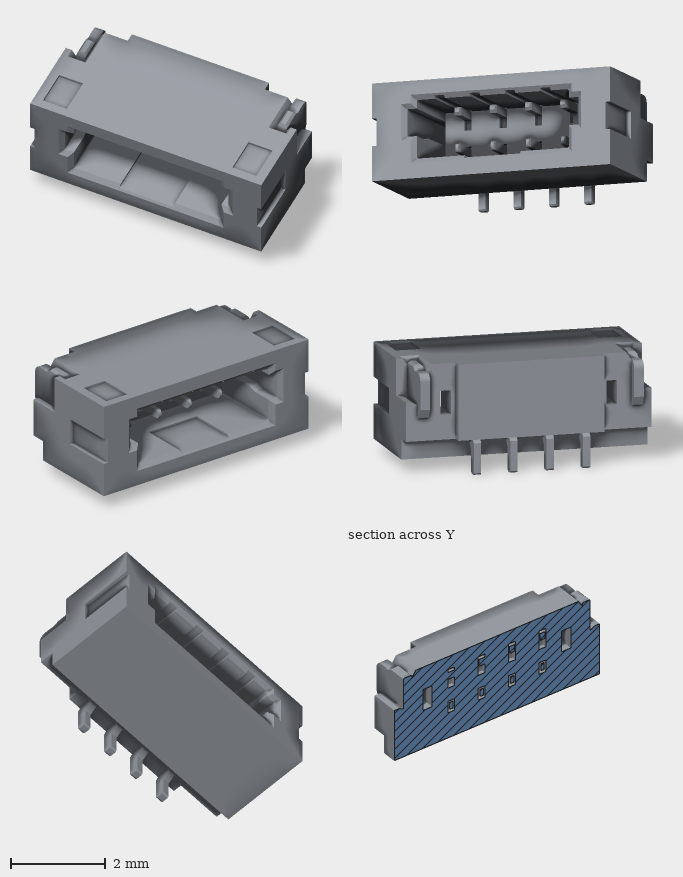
import cadquery as cq


body_width = 5.4
body_height = 2.1
body_depth = 2.49
rear_block_width = 3.21
rear_block_depth = 0.205
rear_y = body_depth + rear_block_depth
underside_relief_y = 2.15
underside_relief_height = 0.455
side_notch_depth = 0.1
side_notch_length = 1.2
side_notch_bottom = 0.755
side_notch_height = 0.59
label_width = 0.555
label_length = 0.795
label_depth = 0.05
label_x = 2.215
label_y = 0.595

lead_in = 0.1
cavity_width = 3.445
cavity_bottom = 0.44
cavity_top = 1.695
cavity_depth = 1.73
cavity_taper_start = 0.795
cavity_rear_width = 3.415
cavity_edge_radius = 0.04
cavity_rear_chamfer = 0.05
floor_pocket_width = 1.27
floor_pocket_depth = 0.06
floor_pocket_end = 1.19

ear_width = 3.875
ear_bottom = 0.925
ear_top = 1.51
ear_step = 0.065
ear_ramp_start = 0.6
ear_ramp_length = 0.19

contact_count = 4
contact_pitch = 0.8
slot_width = 0.17
slot_depth = 0.16
slot_rear = cavity_depth + slot_depth
upper_slot_bottom = 1.29
upper_slot_top = 1.755
ceiling_groove_width = 0.225
lower_slot_bottom = 0.655
lower_slot_top = 0.94
contact_front = 1.08
contact_nose_length = 0.08
contact_nose_inset = 0.02
beam_width = 0.15
beam_bottom = 1.51
beam_top = 1.69
beam_root_radius = 0.13
beam_tip_chamfer = 0.065
pin_width = 0.1
pin_bottom = 0.72
pin_top = 0.905

tail_width = 0.16
tail_thickness = 0.21
tail_outer_y = 2.75
tail_inner_y = tail_outer_y - tail_thickness
tail_bottom = -0.295
tail_root_y = 2.37
tail_root_bottom = 0.365
tail_brace_bottom = 0.225
tail_tip_chamfer = 0.04
tail_top_chamfer = 0.065

tab_x = 2.35
tab_thickness = 0.215
tab_front = 1.65
tab_top = 1.95
tab_slot_lead_in = 0.1
tab_slot_lead_in_depth = body_height - tab_top
tab_window_y = 1.75
tab_window_bottom = 1.295
ledge_chamfer_drop = 0.06
tab_bump_start = 1.83
tab_bump_end = 2.2
tab_bump_top = 2.05
tab_bump_bevel = 0.055
tab_nose_top = 1.835
tab_dip_end = 2.38
tab_dip_depth = 0.015
tab_dip_radius = 0.195
tab_dip_ramp_end = 2.435
tab_corner_radius = 0.16
tab_heel_top = 1.175
tab_toe_y = 2.645
tab_toe_top = 0.99
tab_toe_radius = 0.19
tab_foot = 0.94
tab_root_y = 2.38


def box(x_min, x_max, y_min, y_max, z_min, z_max):
    size = (x_max - x_min, y_max - y_min, z_max - z_min)
    return cq.Workplane("XY").box(*size, centered=False).translate((x_min, y_min, z_min))


def centred_box(width, y_min, y_max, z_min, z_max, x=0.0):
    return box(x - width / 2, x + width / 2, y_min, y_max, z_min, z_max)


def plate(outline, thickness, x):
    """Extrude a closed (Y, Z) outline to a plate centred on x."""
    return outline.close().extrude(thickness / 2, both=True).translate((x, 0, 0))


def lead_in_cut(width, z_min, z_max):
    """45 degree funnel at the mating face, narrowing to the given opening."""
    height = z_max - z_min
    funnel = cq.Workplane("XZ").rect(width + 2 * lead_in, height + 2 * lead_in)
    return funnel.extrude(-lead_in, taper=45).translate((0, 0, (z_min + z_max) / 2))


def make_housing():
    body = centred_box(body_width, 0, body_depth, 0, body_height)
    body = body.union(centred_box(rear_block_width, body_depth, rear_y, 0, body_height))
    body = body.cut(centred_box(body_width, underside_relief_y, rear_y, 0, underside_relief_height))
    notch_top = side_notch_bottom + side_notch_height
    for side in (-1, 1):
        notch_x = side * (body_width - side_notch_depth) / 2
        body = body.cut(
            centred_box(side_notch_depth, 0, side_notch_length, side_notch_bottom, notch_top, notch_x)
        )
        label = cq.Workplane("XY").box(label_width, label_length, 2 * label_depth)
        body = body.cut(label.translate((side * label_x, label_y, body_height)))
    return body


def cavity_section(width, y):
    """Rounded rectangular cross-section of the cavity at depth y."""
    rectangle = cq.Sketch().rect(width, cavity_top - cavity_bottom).vertices().fillet(cavity_edge_radius)
    return rectangle.moved(cq.Location(cq.Vector(0, (cavity_top + cavity_bottom) / 2, -y)))


def make_cavity():
    """Round-edged cavity, slightly narrower at the rear, with a chamfer where floor meets rear wall."""
    mouth = cavity_section(cavity_width, 0)
    middle = cavity_section(cavity_width, cavity_taper_start)
    rear = cavity_section(cavity_rear_width, cavity_depth)
    cavity = cq.Workplane("XZ").placeSketch(mouth, middle).loft()
    cavity = cavity.union(cq.Workplane("XZ").placeSketch(middle, rear).loft())
    floor_chamfer = (
        cq.Workplane("YZ")
        .moveTo(cavity_depth, cavity_bottom)
        .lineTo(cavity_depth - cavity_rear_chamfer, cavity_bottom)
        .lineTo(cavity_depth, cavity_bottom + cavity_rear_chamfer)
    )
    cavity = cavity.cut(plate(floor_chamfer, cavity_width, 0))
    return cavity.union(lead_in_cut(cavity_width, cavity_bottom, cavity_top))


def make_floor_pocket():
    pocket_bottom = cavity_bottom - floor_pocket_depth
    return centred_box(floor_pocket_width, 0, floor_pocket_end, pocket_bottom, cavity_top)


def make_ear_cut():
    """Keyway on both sides of the cavity; its floor ramps up to a step and runs out the rear."""
    outline = (
        cq.Workplane("YZ")
        .moveTo(0, ear_top)
        .lineTo(0, ear_bottom)
        .lineTo(ear_ramp_start, ear_bottom)
        .lineTo(ear_ramp_start + ear_ramp_length, ear_bottom + ear_step)
        .lineTo(body_depth, ear_bottom + ear_step)
        .lineTo(body_depth, ear_top)
    )
    keyway = plate(outline, ear_width, 0)
    rear_wall = centred_box(cavity_rear_width, cavity_depth, body_depth, 0, body_height)
    return keyway.cut(rear_wall).union(lead_in_cut(ear_width, ear_bottom, ear_top))


def contact_slots(x):
    upper = centred_box(slot_width, 0, slot_rear, upper_slot_bottom, upper_slot_top, x)
    lower = centred_box(slot_width, 0, slot_rear, lower_slot_bottom, lower_slot_top, x)
    groove_bottom = cavity_top - lead_in
    groove = centred_box(ceiling_groove_width, 0, cavity_depth, groove_bottom, upper_slot_top, x)
    return upper.union(lower).union(groove)


def contact_plan(width, x):
    """Full-height envelope of a contact whose sides taper toward its tip."""
    half = width / 2
    tip = half - contact_nose_inset
    nose_end = contact_front + contact_nose_length
    outline = [
        (-half, slot_rear),
        (-half, nose_end),
        (-tip, contact_front),
        (tip, contact_front),
        (half, nose_end),
        (half, slot_rear),
    ]
    return cq.Workplane("XY").polyline(outline).close().extrude(body_height).translate((x, 0, 0))


def upper_beam(x):
    root_y = slot_rear
    outline = (
        cq.Workplane("YZ")
        .moveTo(root_y, beam_bottom - beam_root_radius)
        .radiusArc((root_y - beam_root_radius, beam_bottom), -beam_root_radius)
        .lineTo(contact_front + beam_tip_chamfer, beam_bottom)
        .lineTo(contact_front, beam_bottom + beam_tip_chamfer)
        .lineTo(contact_front, beam_top - beam_tip_chamfer)
        .lineTo(contact_front + beam_tip_chamfer, beam_top)
        .lineTo(root_y, beam_top)
    )
    return plate(outline, beam_width, x).intersect(contact_plan(beam_width, x))


def lower_pin(x):
    radius = (pin_top - pin_bottom) / 2
    outline = (
        cq.Workplane("YZ")
        .moveTo(slot_rear, pin_bottom)
        .lineTo(contact_front + radius, pin_bottom)
        .threePointArc((contact_front, pin_bottom + radius), (contact_front + radius, pin_top))
        .lineTo(slot_rear, pin_top)
    )
    return plate(outline, pin_width, x).intersect(contact_plan(pin_width, x))


def contact_tail(x):
    outline = (
        cq.Workplane("YZ")
        .moveTo(tail_root_y, underside_relief_height)
        .lineTo(tail_root_y, tail_root_bottom)
        .lineTo(tail_inner_y, tail_brace_bottom)
        .lineTo(tail_inner_y, tail_bottom + tail_tip_chamfer)
        .lineTo(tail_inner_y + tail_tip_chamfer, tail_bottom)
        .lineTo(tail_outer_y - tail_tip_chamfer, tail_bottom)
        .lineTo(tail_outer_y, tail_bottom + tail_tip_chamfer)
        .lineTo(tail_outer_y, underside_relief_height - tail_top_chamfer)
        .lineTo(tail_outer_y - tail_top_chamfer, underside_relief_height)
    )
    return plate(outline, tail_width, x)


def tab_slot(side):
    """Slot for a solder tab, with a funnelled top and a window to the side of the housing."""
    inner = tab_x - tab_thickness / 2
    outer = tab_x + tab_thickness / 2
    top_outer = outer + tab_slot_lead_in
    bottom_length = body_depth - tab_front
    top_length = bottom_length + tab_slot_lead_in
    slot = box(inner, outer, tab_front, body_depth, tab_window_bottom, body_height)
    funnel = (
        cq.Workplane("XY", origin=(tab_x, body_depth, tab_top))
        .center(0, -bottom_length / 2)
        .rect(tab_thickness, bottom_length)
        .workplane(offset=tab_slot_lead_in_depth)
        .center(0, (bottom_length - top_length) / 2)
        .rect(tab_thickness + 2 * tab_slot_lead_in, top_length)
        .loft(ruled=True)
    )
    window = box(outer, body_width / 2, tab_window_y, body_depth, tab_window_bottom, body_height)
    ledge_chamfer = (
        cq.Workplane("XZ", origin=(0, tab_window_y, 0))
        .moveTo(outer, tab_window_bottom)
        .lineTo(top_outer, tab_window_bottom)
        .lineTo(outer, tab_window_bottom - ledge_chamfer_drop)
        .close()
        .extrude(tab_window_y - body_depth)
    )
    cut = slot.union(funnel).union(window).union(ledge_chamfer)
    return cut if side > 0 else cut.mirror("YZ")


def solder_tab(side):
    outline = (
        cq.Workplane("YZ")
        .moveTo(tab_front, tab_window_bottom)
        .lineTo(tab_front, tab_nose_top)
        .lineTo(tab_window_y, tab_top)
        .lineTo(tab_bump_start, tab_bump_top)
        .lineTo(tab_bump_end, tab_bump_top)
        .radiusArc((tab_dip_end, tab_top - tab_dip_depth), -tab_dip_radius)
        .lineTo(tab_dip_ramp_end, tab_top)
        .lineTo(tail_outer_y - tab_corner_radius, tab_top)
        .radiusArc((tail_outer_y, tab_top - tab_corner_radius), tab_corner_radius)
        .lineTo(tail_outer_y, tab_heel_top)
        .lineTo(tab_toe_y, tab_toe_top)
        .radiusArc((body_depth, tab_foot), tab_toe_radius)
        .lineTo(tab_root_y, tab_foot)
        .lineTo(tab_root_y, tab_window_bottom)
    )
    tab = plate(outline, tab_thickness, side * tab_x)
    return tab.faces(">Z").edges("|Y").chamfer(tab_bump_bevel)


result = make_housing().cut(make_cavity()).cut(make_ear_cut()).cut(make_floor_pocket())
for index in range(contact_count):
    column_x = (index - (contact_count - 1) / 2) * contact_pitch
    result = result.cut(contact_slots(column_x))
    result = result.union(upper_beam(column_x))
    result = result.union(lower_pin(column_x))
    result = result.union(contact_tail(column_x))
for side in (-1, 1):
    result = result.cut(tab_slot(side))
    result = result.union(solder_tab(side))